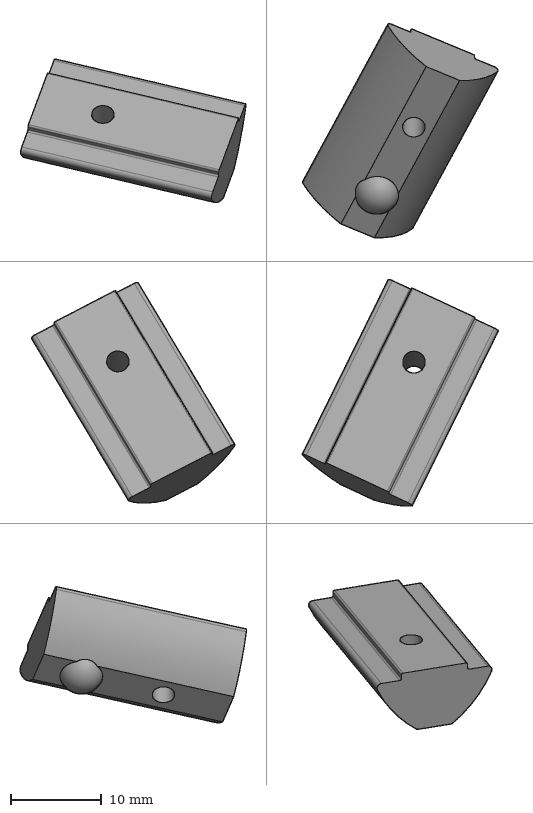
import cadquery as cq
import math

length = 22.0
width = 13.5
total_height = 8.95

bar_height = 7.24
rail_width = 7.79
rail_height = 0.84
rail_fillet = 0.2
bottom_width = 4.1
corner_radius = 0.5
flank_radius = 14.0

hole_diameter = 2.46
hole_x = -3.5
ball_radius = 2.49
ball_x = 6.0


def bar_section():
    """Closed section in the YZ plane with convex flanks tangent to the rounded corners."""
    rail_half = rail_width / 2
    corner_y = width / 2 - corner_radius
    corner_z = -rail_height - corner_radius
    bottom_y = bottom_width / 2

    dy = corner_y - bottom_y
    dz = corner_z + bar_height
    span = math.hypot(dy, dz)
    tangent_distance = flank_radius - corner_radius
    along = (flank_radius**2 - tangent_distance**2 + span**2) / (2 * span)
    across = math.sqrt(flank_radius**2 - along**2)
    center_y = bottom_y + (along * dy - across * dz) / span
    center_z = -bar_height + (along * dz + across * dy) / span

    tangent_angle = math.atan2(corner_z - center_z, corner_y - center_y)
    bottom_angle = math.atan2(-bar_height - center_z, bottom_y - center_y)
    corner_mid_angle = (math.pi / 2 + tangent_angle) / 2
    flank_mid_angle = (tangent_angle + bottom_angle) / 2

    def on_corner(angle, side):
        y = corner_y + corner_radius * math.cos(angle)
        return side * y, corner_z + corner_radius * math.sin(angle)

    def on_flank(angle, side):
        y = center_y + flank_radius * math.cos(angle)
        return side * y, center_z + flank_radius * math.sin(angle)

    return (
        cq.Workplane("YZ", origin=(-length / 2, 0, 0))
        .moveTo(-rail_half, 0)
        .lineTo(rail_half, 0)
        .lineTo(rail_half, -rail_height)
        .lineTo(corner_y, -rail_height)
        .threePointArc(on_corner(corner_mid_angle, 1), on_corner(tangent_angle, 1))
        .threePointArc(on_flank(flank_mid_angle, 1), (bottom_y, -bar_height))
        .lineTo(-bottom_y, -bar_height)
        .threePointArc(on_flank(flank_mid_angle, -1), on_corner(tangent_angle, -1))
        .threePointArc(on_corner(corner_mid_angle, -1), (-corner_y, -rail_height))
        .lineTo(-rail_half, -rail_height)
        .close()
    )


def make_bar():
    """Extrude the section and round the top and foot edges of the raised rail."""
    bar = bar_section().extrude(length)
    rail_zone = cq.selectors.BoxSelector(
        (-length, -rail_width / 2 - rail_fillet, -rail_height - rail_fillet),
        (length, rail_width / 2 + rail_fillet, rail_fillet),
    )
    return bar.edges("|X").edges(rail_zone).fillet(rail_fillet)


def make_hole():
    return (
        cq.Workplane("XY", origin=(hole_x, 0, 0))
        .circle(hole_diameter / 2)
        .extrude(-total_height)
    )


def make_ball():
    center_z = ball_radius - total_height
    return cq.Workplane("XY", origin=(ball_x, 0, center_z)).sphere(ball_radius)


result = make_bar().cut(make_hole()).union(make_ball())